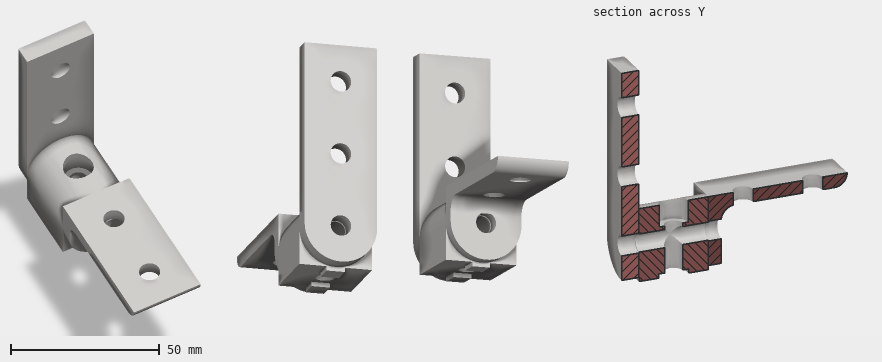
import cadquery as cq

width = 25.4
end_radius = width / 2
leaf_hole_diameter = 7.14
hole_pitch = 25.4

upright_thickness = 6.35
upright_height = 63.5
upright_hole_count = 3

knuckle_length = 25.4
pin_bore_diameter = 6.5
screw_hole_diameter = 6.5
counterbore_diameter = 10.4
counterbore_depth = 8.0

foot_length = 7.25
foot_width = 6.35
foot_height = 1.52

arm_thickness = 4.7625
arm_length = 50.8
arm_inner_radius = arm_thickness
arm_hole_count = 2

knuckle_start = upright_thickness
knuckle_end = knuckle_start + knuckle_length
knuckle_middle = knuckle_start + knuckle_length / 2
arm_end = knuckle_end + arm_length


def axial_cylinder(diameter, start, length):
    """Cylinder on the hinge axis, starting at X = start."""
    return cq.Workplane("YZ").workplane(offset=start).circle(diameter / 2).extrude(length)


def make_upright_leaf():
    """Vertical strap with a round lower end and a row of holes."""
    leaf = (
        cq.Workplane("YZ")
        .moveTo(-end_radius, 0)
        .lineTo(-end_radius, upright_height)
        .lineTo(end_radius, upright_height)
        .lineTo(end_radius, 0)
        .threePointArc((0, -end_radius), (-end_radius, 0))
        .close()
        .extrude(upright_thickness)
    )
    holes = (
        cq.Workplane("YZ")
        .pushPoints([(0, i * hole_pitch) for i in range(upright_hole_count)])
        .circle(leaf_hole_diameter / 2)
        .extrude(upright_thickness)
    )
    return leaf.cut(holes)


def make_foot(start):
    """Locating foot on the underside of the knuckle, starting at X = start."""
    return cq.Workplane("XY", origin=(start, 0, -end_radius - foot_height)).box(
        foot_length, foot_width, foot_height, centered=(False, True, False)
    )


def make_knuckle():
    """Block with a round top, a pin bore, a counterbored screw hole and two feet."""
    knuckle = (
        cq.Workplane("YZ")
        .workplane(offset=knuckle_start)
        .moveTo(-end_radius, 0)
        .threePointArc((0, end_radius), (end_radius, 0))
        .lineTo(end_radius, -end_radius)
        .lineTo(-end_radius, -end_radius)
        .close()
        .extrude(knuckle_length)
    )
    for start in (knuckle_start, knuckle_end - foot_length):
        knuckle = knuckle.union(make_foot(start))
    screw_hole = (
        cq.Workplane("XY", origin=(knuckle_middle, 0, end_radius))
        .circle(screw_hole_diameter / 2)
        .extrude(-width)
    )
    counterbore = (
        cq.Workplane("XY", origin=(knuckle_middle, 0, end_radius))
        .circle(counterbore_diameter / 2)
        .extrude(-counterbore_depth)
    )
    pin_bore = axial_cylinder(pin_bore_diameter, knuckle_start, knuckle_length)
    return knuckle.cut(screw_hole).cut(counterbore).cut(pin_bore)


def make_arm_leaf():
    """L-shaped leaf: a round-ended lug on the hinge axis and a horizontal arm with two holes."""
    arm_underside = end_radius - arm_thickness
    lug_face = knuckle_end + arm_thickness
    lug = (
        cq.Workplane("YZ")
        .workplane(offset=knuckle_end)
        .moveTo(-end_radius, 0)
        .lineTo(-end_radius, end_radius)
        .lineTo(end_radius, end_radius)
        .lineTo(end_radius, 0)
        .threePointArc((0, -end_radius), (-end_radius, 0))
        .close()
        .extrude(arm_thickness)
    )
    arm = (
        cq.Workplane("XZ")
        .moveTo(knuckle_end, end_radius)
        .lineTo(arm_end, end_radius)
        .radiusArc((arm_end - arm_thickness, arm_underside), arm_thickness)
        .lineTo(lug_face + arm_inner_radius, arm_underside)
        .radiusArc((lug_face, arm_underside - arm_inner_radius), -arm_inner_radius)
        .lineTo(knuckle_end, arm_underside - arm_inner_radius)
        .close()
        .extrude(end_radius, both=True)
    )
    first_hole = knuckle_end + hole_pitch / 2
    holes = (
        cq.Workplane("XY", origin=(0, 0, end_radius))
        .pushPoints([(first_hole + i * hole_pitch, 0) for i in range(arm_hole_count)])
        .circle(leaf_hole_diameter / 2)
        .extrude(-arm_thickness)
    )
    pin_hole = axial_cylinder(leaf_hole_diameter, knuckle_end, arm_thickness)
    return lug.union(arm).cut(holes).cut(pin_hole)


upright_leaf = make_upright_leaf()
knuckle = make_knuckle()
arm_leaf = make_arm_leaf()

result = cq.Compound.makeCompound([upright_leaf.val(), knuckle.val(), arm_leaf.val()])